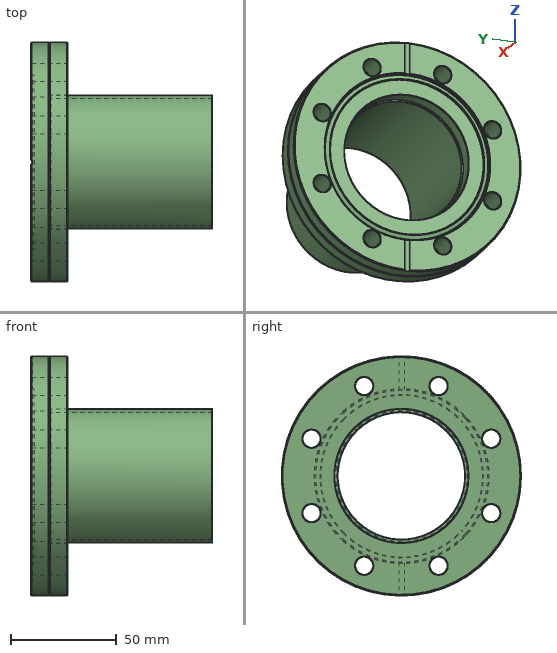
import cadquery as cq
import math

total_length = 85.85
flange_diameter = 113.5
flange_thickness = 17.5
rim_chamfer = 0.5
edge_chamfer = 0.2

recess_diameter = 82.55
recess_depth = 1.3
knife_base_diameter = 81.4
knife_outer_diameter = 77.4
knife_inner_diameter = 76.7
knife_tip_depth = 0.6

bore_diameter = 62.0
socket_diameter = 63.75
shoulder_depth = 9.5
tube_outer_diameter = 63.5
tube_inner_diameter = 60.2

bolt_hole_count = 8
bolt_hole_diameter = 8.43
bolt_circle_diameter = 92.1

rim_groove_x = flange_thickness / 2
rim_groove_width = 0.9
rim_groove_depth = 0.4

leak_groove_width = 2.5
leak_groove_depth = 0.6


def revolve_about_x(half_profile):
    """Close an (x, radius) outline and revolve it about the X axis."""
    return half_profile.close().revolve(360, (0, 0, 0), (1, 0, 0))


def make_flange_blank():
    """Turned flange: recess and knife edge in front, V-groove on the rim, socket at the back."""
    bore_radius = bore_diameter / 2
    recess_radius = recess_diameter / 2
    rim_radius = flange_diameter / 2
    socket_radius = socket_diameter / 2
    half_groove = rim_groove_width / 2
    half_profile = (
        cq.Workplane("XY")
        .moveTo(recess_depth + edge_chamfer, bore_radius)
        .lineTo(recess_depth, bore_radius + edge_chamfer)
        .lineTo(recess_depth, knife_inner_diameter / 2)
        .lineTo(knife_tip_depth, knife_inner_diameter / 2)
        .lineTo(knife_tip_depth, knife_outer_diameter / 2)
        .lineTo(recess_depth, knife_base_diameter / 2)
        .lineTo(recess_depth, recess_radius)
        .lineTo(edge_chamfer, recess_radius)
        .lineTo(0, recess_radius + edge_chamfer)
        .lineTo(0, rim_radius - rim_chamfer)
        .lineTo(rim_chamfer, rim_radius)
        .lineTo(rim_groove_x - half_groove, rim_radius)
        .lineTo(rim_groove_x, rim_radius - rim_groove_depth)
        .lineTo(rim_groove_x + half_groove, rim_radius)
        .lineTo(flange_thickness - rim_chamfer, rim_radius)
        .lineTo(flange_thickness, rim_radius - rim_chamfer)
        .lineTo(flange_thickness, socket_radius)
        .lineTo(shoulder_depth, socket_radius)
        .lineTo(shoulder_depth, bore_radius)
    )
    return revolve_about_x(half_profile)


def make_bolt_hole_cutter():
    """Through-hole cutter on the X axis, chamfered at both faces of the flange."""
    hole_radius = bolt_hole_diameter / 2
    mouth_radius = hole_radius + edge_chamfer
    half_profile = (
        cq.Workplane("XY")
        .lineTo(0, mouth_radius)
        .lineTo(edge_chamfer, hole_radius)
        .lineTo(flange_thickness - edge_chamfer, hole_radius)
        .lineTo(flange_thickness, mouth_radius)
        .lineTo(flange_thickness, 0)
    )
    return revolve_about_x(half_profile)


def make_leak_groove_cutter(side):
    """Round cutter along Z from inside the recess to beyond the rim; side is +1 or -1."""
    half_width = leak_groove_width / 2
    cutter_radius = (half_width**2 + leak_groove_depth**2) / (2 * leak_groove_depth)
    inner_end = (knife_base_diameter + recess_diameter) / 4
    return (
        cq.Workplane("XY", origin=(0, 0, side * inner_end))
        .center(leak_groove_depth - cutter_radius, 0)
        .circle(cutter_radius)
        .extrude(side * flange_diameter / 2)
    )


def make_flange():
    """Flange with bolt holes straddling the Y and Z axes and a leak groove at top and bottom."""
    flange = make_flange_blank()
    hole_cutter = make_bolt_hole_cutter()
    bolt_circle_radius = bolt_circle_diameter / 2
    for index in range(bolt_hole_count):
        angle = 2 * math.pi * (index + 0.5) / bolt_hole_count
        y = bolt_circle_radius * math.cos(angle)
        z = bolt_circle_radius * math.sin(angle)
        flange = flange.cut(hole_cutter.translate((0, y, z)))
    for side in (1, -1):
        flange = flange.cut(make_leak_groove_cutter(side))
    return flange


def make_tube():
    """Plain tube seated on the shoulder inside the flange socket."""
    return (
        cq.Workplane("YZ", origin=(shoulder_depth, 0, 0))
        .circle(tube_outer_diameter / 2)
        .circle(tube_inner_diameter / 2)
        .extrude(total_length - shoulder_depth)
    )


flange = make_flange()
tube = make_tube()

result = cq.Compound.makeCompound([flange.val(), tube.val()])